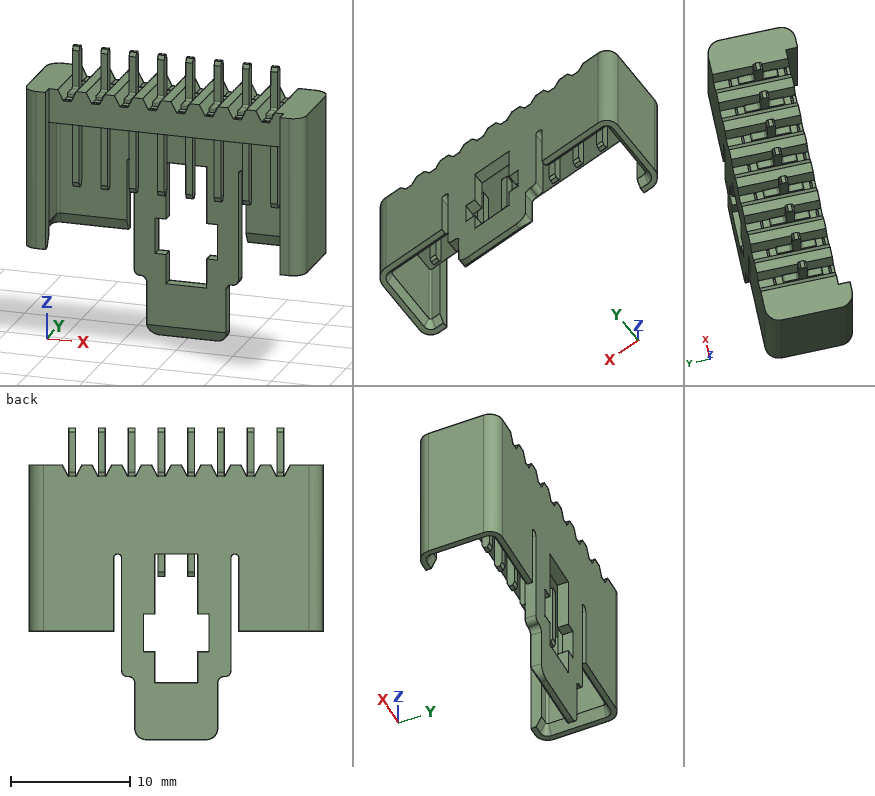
import cadquery as cq


LENGTH = 24.7
DEPTH = 7.5
HEIGHT = 14.0
CORNER_RADIUS = 1.2
WALL = 1.0
ROOF = 3.0
OPENING_WIDTH = 20.7
CAVITY_CORNER_RADIUS = 0.2
LEAD_IN_WIDTH = 0.5
LEAD_IN_HEIGHT = 1.0
CAVITY_LENGTH = LENGTH - 2 * WALL
CAVITY_DEPTH = DEPTH - 2 * WALL
BACK_Y = DEPTH / 2
INNER_BACK_Y = BACK_Y - WALL

TONGUE_WIDTH = 9.2
TONGUE_NECK_WIDTH = 7.0
TONGUE_BOTTOM = -23.1
TONGUE_STEP = -17.8
TONGUE_STEP_OUTER_RADIUS = 0.5
TONGUE_STEP_INNER_RADIUS = 0.5
TONGUE_END_RADIUS = 1.0
TONGUE_BEVEL_DEPTH = 0.5
TONGUE_BEVEL_HEIGHT = 1.0
SLIT_WIDTH = 0.65
SLIT_TOP = -7.5
SLIT_ARC_Z = SLIT_TOP - SLIT_WIDTH / 2

SELECT_MARGIN = 0.01

WINDOW_WIDTH = 3.6
WINDOW_BOTTOM = -18.3
WINDOW_WIDE_WIDTH = 5.5
WINDOW_WIDE_TOP = -12.55
WINDOW_WIDE_BOTTOM = -15.7

PIN_COUNT = 8
PIN_PITCH = 2.5
PIN_WIDTH = 0.6
PIN_DEPTH = 0.7
PIN_TOP = 3.1
PIN_BOTTOM = -9.4
TIP_DEPTH = 0.35
UPPER_TIP_HEIGHT = 0.35
LOWER_TIP_HEIGHT = 0.4

SHOULDER_LENGTH = 3.4
SHOULDER_TOP = -0.6
SHOULDER_ROOT_RADIUS = 0.18
SHOULDER_END_RADIUS = 0.1
SHOULDER_EMBED = 0.5

GROOVE_DEPTH = 0.95
GROOVE_TOP_WIDTH = 1.65
GROOVE_FLOOR_WIDTH = 0.65

POCKET_START = 2.3
POCKET_END = 2.47
POCKET_INNER_DEPTH = 0.4
POCKET_OUTER_DEPTH = 0.25


def block(width, y_min, y_max, z_min, z_max):
    """Box centred in X, between the given Y and Z limits."""
    solid = cq.Workplane("XY").box(width, y_max - y_min, z_max - z_min, centered=(True, False, False))
    return solid.translate((0, y_min, z_min))


def make_shell():
    """Open-bottomed housing with a front opening between two lips."""
    shell = block(LENGTH, -DEPTH / 2, BACK_Y, -HEIGHT, 0).edges("|Z").fillet(CORNER_RADIUS)
    cavity = block(CAVITY_LENGTH, -CAVITY_DEPTH / 2, CAVITY_DEPTH / 2, -HEIGHT, -ROOF)
    cavity = cavity.edges("|Z").fillet(CAVITY_CORNER_RADIUS)
    opening = block(OPENING_WIDTH, -DEPTH / 2, -CAVITY_DEPTH / 2, -HEIGHT, 0)
    shell = shell.cut(cavity).cut(opening)
    return shell.cut(make_lead_in())


def make_lead_in():
    """Flared mouth of the cavity, with its wider end at the housing bottom."""

    def rim(growth, z):
        outline = cq.Sketch().rect(CAVITY_LENGTH + 2 * growth, CAVITY_DEPTH + 2 * growth)
        outline = outline.vertices().fillet(CAVITY_CORNER_RADIUS + growth)
        return outline.moved(cq.Location(cq.Vector(0, 0, z)))

    return cq.Workplane("XY").placeSketch(rim(LEAD_IN_WIDTH, -HEIGHT), rim(0, LEAD_IN_HEIGHT - HEIGHT)).loft()


def make_tongue_gap():
    """Gap in the back wall for the tongue, with a round-ended slit along each side."""
    slit_offset = (TONGUE_WIDTH + SLIT_WIDTH) / 2
    gap = block(TONGUE_WIDTH + 2 * SLIT_WIDTH, INNER_BACK_Y, BACK_Y, -HEIGHT, SLIT_ARC_Z)
    for side in (-1, 1):
        slit_end = cq.Workplane("XZ").center(side * slit_offset, SLIT_ARC_Z)
        slit_end = slit_end.circle(SLIT_WIDTH / 2).extrude(-WALL)
        gap = gap.union(slit_end.translate((0, INNER_BACK_Y, 0)))
    return gap


def make_tongue():
    """Latch tongue in the plane of the back wall, narrowing to a bevelled end."""
    upper = block(TONGUE_WIDTH, INNER_BACK_Y, BACK_Y, TONGUE_STEP, SLIT_ARC_Z)
    upper = upper.edges("|Y and <Z").fillet(TONGUE_STEP_OUTER_RADIUS)
    neck = block(TONGUE_NECK_WIDTH, INNER_BACK_Y, BACK_Y, TONGUE_BOTTOM, TONGUE_STEP)
    neck = neck.edges("|Y and <Z").fillet(TONGUE_END_RADIUS)
    tongue = upper.union(neck)
    inner_corners = cq.selectors.BoxSelector(
        (-TONGUE_NECK_WIDTH / 2 - SELECT_MARGIN, INNER_BACK_Y, TONGUE_STEP - SELECT_MARGIN),
        (TONGUE_NECK_WIDTH / 2 + SELECT_MARGIN, BACK_Y, TONGUE_STEP + SELECT_MARGIN),
    )
    tongue = tongue.edges("|Y").edges(inner_corners).fillet(TONGUE_STEP_INNER_RADIUS)
    bevel = (
        cq.Workplane("YZ")
        .moveTo(INNER_BACK_Y, TONGUE_BOTTOM)
        .lineTo(INNER_BACK_Y + TONGUE_BEVEL_DEPTH, TONGUE_BOTTOM)
        .lineTo(INNER_BACK_Y, TONGUE_BOTTOM + TONGUE_BEVEL_HEIGHT)
        .close()
        .extrude(TONGUE_NECK_WIDTH / 2, both=True)
    )
    return tongue.cut(bevel)


def make_window():
    """Cross-shaped window through the tongue and the wall above it."""
    tall = block(WINDOW_WIDTH, INNER_BACK_Y, BACK_Y, WINDOW_BOTTOM, SLIT_TOP)
    wide = block(WINDOW_WIDE_WIDTH, INNER_BACK_Y, BACK_Y, WINDOW_WIDE_BOTTOM, WINDOW_WIDE_TOP)
    return tall.union(wide)


def make_groove(x):
    """Trapezoidal groove across the roof, plus the two pockets in its floor."""
    profile = [
        (x - GROOVE_TOP_WIDTH / 2, 0),
        (x + GROOVE_TOP_WIDTH / 2, 0),
        (x + GROOVE_FLOOR_WIDTH / 2, -GROOVE_DEPTH),
        (x - GROOVE_FLOOR_WIDTH / 2, -GROOVE_DEPTH),
    ]
    groove = cq.Workplane("XZ").polyline(profile).close().extrude(DEPTH / 2, both=True)
    for side in (-1, 1):
        pocket = [
            (side * POCKET_START, -GROOVE_DEPTH),
            (side * POCKET_END, -GROOVE_DEPTH),
            (side * POCKET_END, -GROOVE_DEPTH - POCKET_OUTER_DEPTH),
            (side * POCKET_START, -GROOVE_DEPTH - POCKET_INNER_DEPTH),
        ]
        cutter = cq.Workplane("YZ").polyline(pocket).close().extrude(PIN_WIDTH / 2, both=True)
        groove = groove.union(cutter.translate((x, 0, 0)))
    return groove


def make_pin(x):
    """Flat pin with tapered tips and a rounded shoulder."""
    half_pin = PIN_DEPTH / 2
    half_tip = TIP_DEPTH / 2
    half_shoulder = SHOULDER_LENGTH / 2
    root = SHOULDER_ROOT_RADIUS
    end = SHOULDER_END_RADIUS
    shoulder_bottom = -GROOVE_DEPTH - SHOULDER_EMBED
    half = (
        cq.Workplane("YZ")
        .moveTo(0, PIN_TOP)
        .lineTo(half_tip, PIN_TOP)
        .lineTo(half_pin, PIN_TOP - UPPER_TIP_HEIGHT)
        .lineTo(half_pin, SHOULDER_TOP + root)
        .radiusArc((half_pin + root, SHOULDER_TOP), -root)
        .lineTo(half_shoulder - end, SHOULDER_TOP)
        .radiusArc((half_shoulder, SHOULDER_TOP - end), end)
        .lineTo(half_shoulder, shoulder_bottom)
        .lineTo(half_pin, shoulder_bottom)
        .lineTo(half_pin, PIN_BOTTOM + LOWER_TIP_HEIGHT)
        .lineTo(half_tip, PIN_BOTTOM)
        .lineTo(0, PIN_BOTTOM)
        .close()
        .extrude(PIN_WIDTH / 2, both=True)
    )
    return half.union(half.mirror("XZ")).translate((x, 0, 0))


result = make_shell().cut(make_tongue_gap()).union(make_tongue()).cut(make_window())
for index in range(PIN_COUNT):
    pin_x = (index - (PIN_COUNT - 1) / 2) * PIN_PITCH
    result = result.cut(make_groove(pin_x)).union(make_pin(pin_x))